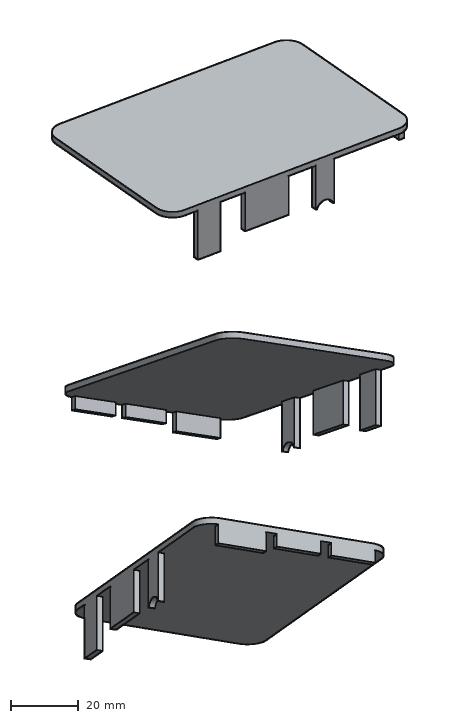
import cadquery as cq

PLATE_WIDTH = 62.0
PLATE_LENGTH = 91.0
PLATE_THICKNESS = 2.0
CORNER_RADIUS = 6.0

RIM_THICKNESS = 2.0

END_TABS = [
    (-26.0, -11.6, 4.0),
    (-8.1, 6.4, 4.0),
    (9.9, 25.7, 6.0),
]

NOTCHED_TAB = (8.9, 15.65, 15.2)
SIDE_TABS = [
    NOTCHED_TAB,
    (-17.2, -1.1, 13.4),
    (-34.6, -26.2, 17.0),
]

NOTCH_RADIUS = 3.1
NOTCH_TOP_DEPTH = 13.0


def rounded_slab(inset, bottom, height):
    """Plate outline moved inwards by inset, extruded upwards from bottom."""
    return (
        cq.Workplane("XY", origin=(0, 0, bottom))
        .rect(PLATE_WIDTH - 2 * inset, PLATE_LENGTH - 2 * inset)
        .extrude(height)
        .edges("|Z")
        .fillet(CORNER_RADIUS - inset)
    )


def hanging_block(x_start, x_end, y_start, y_end, depth):
    """Rectangular block hanging from the underside of the plate."""
    return cq.Workplane("XY", origin=(x_start, y_start, -depth)).box(
        x_end - x_start, y_end - y_start, depth, centered=False
    )


def edge_tabs():
    """Pieces of the rim wall that remain as tabs, following its rounded corners."""
    deepest = max(depth for _, _, depth in END_TABS + SIDE_TABS)
    rim = rounded_slab(0, -deepest, deepest).cut(rounded_slab(RIM_THICKNESS, -deepest, deepest))

    blocks = cq.Workplane("XY")
    end_edge = PLATE_LENGTH / 2
    for x_start, x_end, depth in END_TABS:
        blocks = blocks.add(hanging_block(x_start, x_end, end_edge - CORNER_RADIUS, end_edge, depth))
    side_edge = PLATE_WIDTH / 2
    for y_start, y_end, depth in SIDE_TABS:
        blocks = blocks.add(hanging_block(side_edge - CORNER_RADIUS, side_edge, y_start, y_end, depth))
    return rim.intersect(blocks.combine())


def notch_cutter():
    """Cylinder along X, centred across the notched tab."""
    y_start, y_end, _ = NOTCHED_TAB
    return (
        cq.Workplane("YZ")
        .center((y_start + y_end) / 2, -NOTCH_TOP_DEPTH - NOTCH_RADIUS)
        .circle(NOTCH_RADIUS)
        .extrude(PLATE_WIDTH)
    )


plate = rounded_slab(0, 0, PLATE_THICKNESS)
result = plate.union(edge_tabs().cut(notch_cutter()))